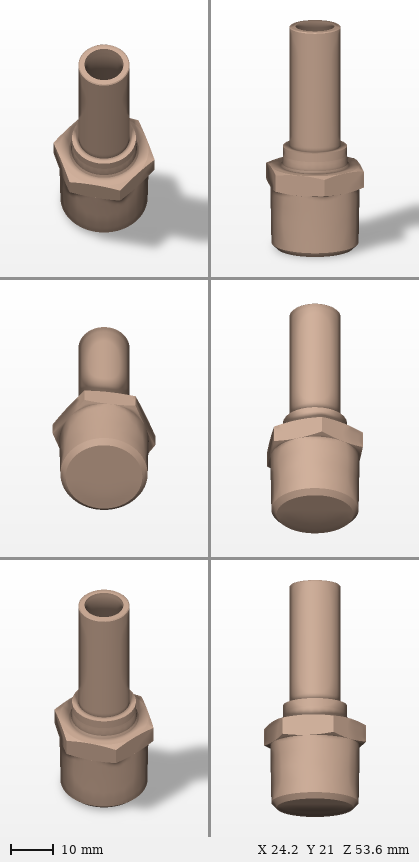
import cadquery as cq
import math

total_height = 53.6
across_flats = 21.0
across_corners = across_flats / math.cos(math.pi / 6)
hex_bottom = 15.0
hex_top = 20.0
hex_face_radius = 10.45
hex_bevel_height = 0.55

plug_top_radius = 10.5
plug_bottom_radius = 10.25
plug_chamfer_height = 1.25
plug_end_radius = 9.0

collar_top = 24.65
collar_straight_bottom = 22.6
collar_cone_bottom = 20.5
collar_radius = 7.5
collar_cone_radius = 7.7
collar_foot_radius = 8.15

tube_radius = 6.0
tube_chamfer = 0.2
bore_radius = 4.55


def revolve_profile(points):
    """Revolve (radius, height) points about the Z axis."""
    return cq.Workplane("XZ").polyline(points).close().revolve(360, (0, 0), (0, 1))


def make_hexagon():
    """Hexagon with corners along X, bevelled at both faces."""
    corner_radius = across_corners / 2
    prism = (
        cq.Workplane("XY")
        .workplane(offset=hex_bottom)
        .polygon(6, across_corners)
        .extrude(hex_top - hex_bottom)
    )
    bevel_envelope = revolve_profile([
        (0, hex_bottom),
        (hex_face_radius, hex_bottom),
        (corner_radius, hex_bottom + hex_bevel_height),
        (corner_radius, hex_top - hex_bevel_height),
        (hex_face_radius, hex_top),
        (0, hex_top),
    ])
    return prism.intersect(bevel_envelope)


def make_turned_body():
    """Plug, collar and tube as one turned shape."""
    return revolve_profile([
        (0, 0),
        (plug_end_radius, 0),
        (plug_bottom_radius, plug_chamfer_height),
        (plug_top_radius, hex_bottom),
        (collar_foot_radius, hex_bottom),
        (collar_foot_radius, hex_top),
        (collar_cone_radius, collar_cone_bottom),
        (collar_radius, collar_straight_bottom),
        (collar_radius, collar_top),
        (tube_radius, collar_top),
        (tube_radius, total_height - tube_chamfer),
        (tube_radius - tube_chamfer, total_height),
        (0, total_height),
    ])


def make_bore():
    """Blind bore running the length of the tube."""
    return (
        cq.Workplane("XY")
        .workplane(offset=collar_top)
        .circle(bore_radius)
        .extrude(total_height - collar_top)
    )


result = make_turned_body().union(make_hexagon()).cut(make_bore())